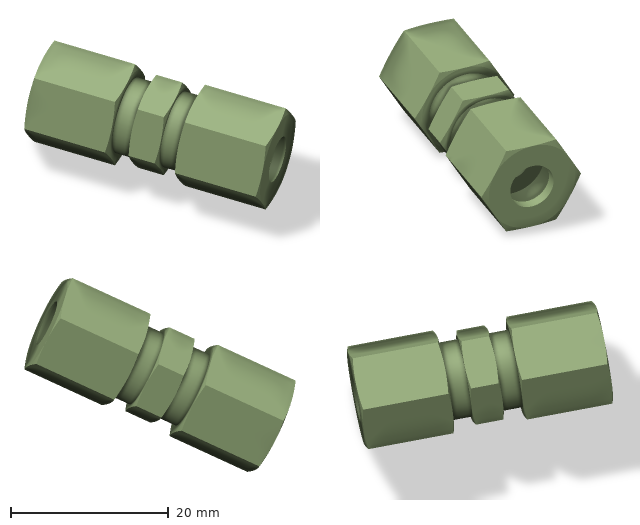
import cadquery as cq
import math

OVERALL_LENGTH = 32.0
HEX_CHAMFER_ANGLE = 15.0

NUT_LENGTH = 11.5
NUT_ACROSS_FLATS = 12.0
TUBE_HOLE_DIAMETER = 6.0
TUBE_HOLE_LENGTH = 1.4
CAVITY_DIAMETER = 8.93

BODY_LENGTH = 20.0
BODY_HEX_LENGTH = 4.0
BODY_HEX_ACROSS_FLATS = 11.0
STUB_DIAMETER = 10.0
BORE_DIAMETER = 4.5

CAVITY_START = TUBE_HOLE_LENGTH + (CAVITY_DIAMETER - TUBE_HOLE_DIAMETER) / 2
STUB_END = (OVERALL_LENGTH - BODY_LENGTH) / 2


def chamfered_hex(length, across_flats):
    """Hexagonal bar from x = 0 to length, flats facing +Z and -Z, corners turned off at both ends."""
    flat_radius = across_flats / 2
    corner_radius = flat_radius / math.cos(math.radians(30))
    chamfer_depth = (corner_radius - flat_radius) * math.tan(math.radians(HEX_CHAMFER_ANGLE))
    bar = cq.Workplane("YZ").polygon(6, 2 * corner_radius).extrude(length)
    turned_envelope = (
        cq.Workplane("XY")
        .polyline([
            (0, 0),
            (0, flat_radius),
            (chamfer_depth, corner_radius),
            (length - chamfer_depth, corner_radius),
            (length, flat_radius),
            (length, 0),
        ])
        .close()
        .revolve(360, (0, 0, 0), (1, 0, 0))
    )
    return bar.intersect(turned_envelope)


def make_union_nut():
    """Nut with its outer face at x = 0, hollowed by a tube hole, a cone, a cavity and the stub seat."""
    tube_hole_radius = TUBE_HOLE_DIAMETER / 2
    cavity_radius = CAVITY_DIAMETER / 2
    stub_radius = STUB_DIAMETER / 2
    hollow = (
        cq.Workplane("XY")
        .polyline([
            (0, 0),
            (0, tube_hole_radius),
            (TUBE_HOLE_LENGTH, tube_hole_radius),
            (CAVITY_START, cavity_radius),
            (STUB_END, cavity_radius),
            (STUB_END, stub_radius),
            (NUT_LENGTH, stub_radius),
            (NUT_LENGTH, 0),
        ])
        .close()
        .revolve(360, (0, 0, 0), (1, 0, 0))
    )
    return chamfered_hex(NUT_LENGTH, NUT_ACROSS_FLATS).cut(hollow)


def make_fitting_body():
    """Round stub with a central hexagon, bored through and centred on the origin."""
    stub = cq.Workplane("YZ").circle(STUB_DIAMETER / 2).extrude(BODY_LENGTH / 2, both=True)
    hexagon = chamfered_hex(BODY_HEX_LENGTH, BODY_HEX_ACROSS_FLATS).translate((-BODY_HEX_LENGTH / 2, 0, 0))
    bore = cq.Workplane("YZ").circle(BORE_DIAMETER / 2).extrude(BODY_LENGTH / 2, both=True)
    return stub.union(hexagon).cut(bore)


fitting_body = make_fitting_body()

union_nuts = []
for turn_angle in (0, 180):
    nut = make_union_nut().translate((-OVERALL_LENGTH / 2, 0, 0))
    union_nuts.append(nut.rotate((0, 0, 0), (0, 0, 1), turn_angle))

result = cq.Compound.makeCompound([fitting_body.val(), *[nut.val() for nut in union_nuts]])